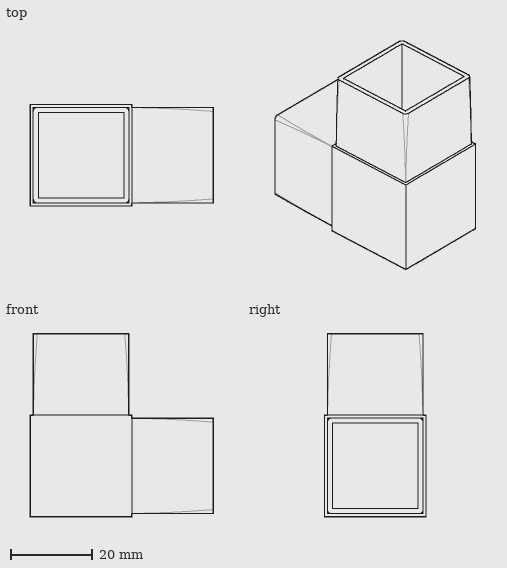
import cadquery as cq

body_size = 25.0
spigot_length = 20.0
spigot_size = 23.5
bore_size = 21.0

root_corner_radius = 0.01
middle_corner_radius = 0.35
tip_corner_radius = 1.0

body_wall = (body_size - bore_size) / 2
bore_depth = spigot_length + body_size - body_wall
spigot_root = body_size / 2
spigot_tip = spigot_root + spigot_length


def rounded_square(height, radius):
    """Spigot cross-section with rounded corners, at a height above the spigot root."""
    section = cq.Sketch().rect(spigot_size, spigot_size).vertices().fillet(radius)
    return section.moved(cq.Location(cq.Vector(0, 0, height)))


def make_spigot():
    """Spigot along +Z, with flat sides and a corner radius that grows towards the tip."""
    root = rounded_square(0, root_corner_radius)
    middle = rounded_square(spigot_length / 2, middle_corner_radius)
    tip = rounded_square(spigot_length, tip_corner_radius)
    base = cq.Workplane("XY", origin=(0, 0, spigot_root))
    return base.placeSketch(root, middle, tip).loft()


def make_bore():
    """Square bore entering from the tip of the +Z spigot."""
    mouth = cq.Workplane("XY", origin=(0, 0, spigot_tip))
    return mouth.rect(bore_size, bore_size).extrude(-bore_depth)


def along_x(shape):
    """Turn a shape pointing along +Z so that it points along +X."""
    return shape.rotate((0, 0, 0), (0, 1, 0), 90)


spigot = make_spigot()
bore = make_bore()

result = cq.Workplane("XY").box(body_size, body_size, body_size)
result = result.union(spigot).union(along_x(spigot))
result = result.cut(bore).cut(along_x(bore))